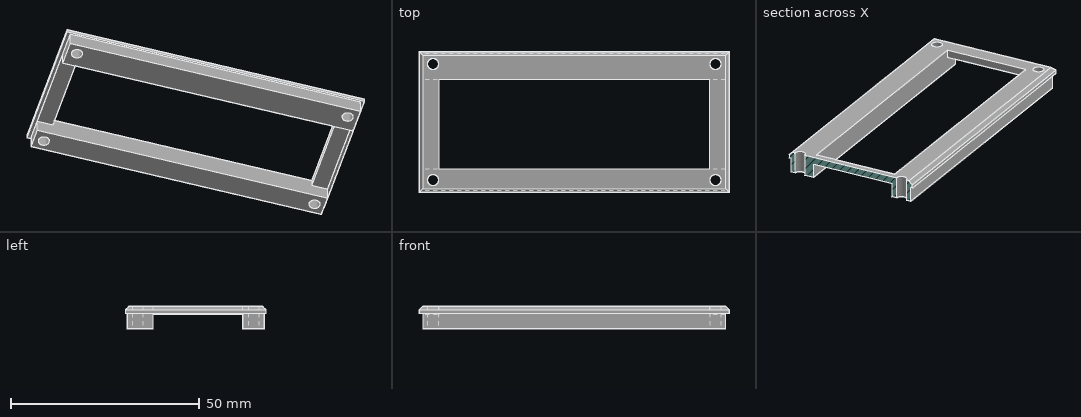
import cadquery as cq

length = 82.5
width = 37.5
height = 6.0

rim_height = 1.0
bevel = 1.0
flange_height = rim_height + bevel

body_height = height - flange_height
body_inset_x = 1.0
body_inset_y = 0.5
web_thickness = 0.2

window_margin_x = 5.4
window_margin_front = 6.3
window_margin_back = 7.4

hole_diameter = 2.9
hole_margin_x = 3.7
hole_margin_y = 3.3

window_length = length - 2 * window_margin_x
window_width = width - window_margin_front - window_margin_back
window_center_y = (window_margin_front - window_margin_back) / 2


def block(size_x, size_y, bottom, top, center_y=0.0):
    """Upright box centered in X between two heights."""
    return (
        cq.Workplane("XY", origin=(0, center_y, bottom))
        .rect(size_x, size_y)
        .extrude(top - bottom)
    )


flange = block(length, width, body_height, height).faces(">Z").chamfer(bevel)
body = block(length - 2 * body_inset_x, width - 2 * body_inset_y, 0, body_height)

channel = block(length, window_width, 0, body_height - web_thickness, window_center_y)
window = block(window_length, window_width, 0, height, window_center_y)

screw_holes = (
    cq.Workplane("XY")
    .rect(length - 2 * hole_margin_x, width - 2 * hole_margin_y, forConstruction=True)
    .vertices()
    .circle(hole_diameter / 2)
    .extrude(height)
)

result = flange.union(body).cut(channel).cut(window).cut(screw_holes)